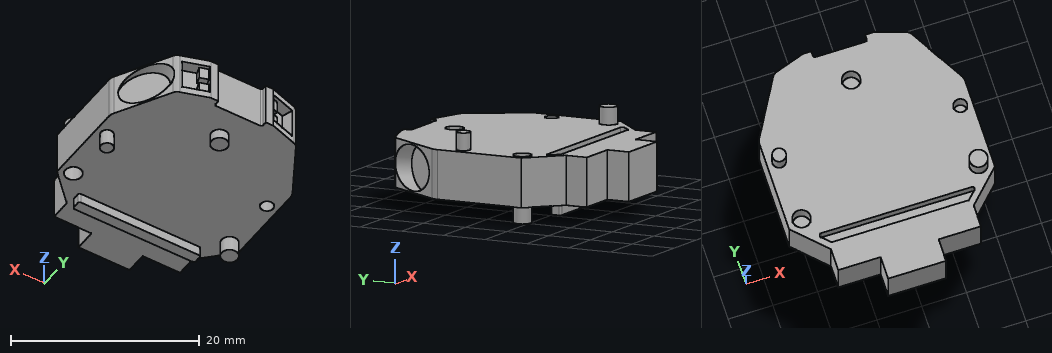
import cadquery as cq
import math

length = 27.0
width = 23.0
thickness = 5.4
mid_z = thickness / 2
tab_width = 6.48
tab_end_y = 2.56
shoulder_width = 15.95
shoulder_end_y = 5.05
side_start_y = shoulder_end_y + (width - shoulder_width) / 2
side_end_y = 19.05
flank_angle = 60.0
roof_angle = 18.0
crest_width = 7.95
notch_width = 6.0
notch_depth = 0.75
notch_radius = 0.2
side_radius = 1.5
roof_radius = 1.0

large_diameter = 2.0
small_diameter = 1.5
pin_length = 1.92
short_pin_length = 1.22
socket_depth = pin_length
pin_margin = 0.62
large_pin_y = 9.3
small_pin_y = 16.23
top_pin_y = 22.57

groove_top_y = 7.1
groove_width = 1.32
groove_floor_length = 15.34
groove_depth = 1.35
groove_radius = 0.25
key_length = 15.45
key_width = 1.25
key_height = 1.25
key_radius = 0.25
key_y = groove_top_y - groove_width / 2

bore_diameter = 5.0
bore_x = 9.37
bore_y = 22.75
bore_floor_angle = 37.5
bore_floor_depth = 1.25
bore_overrun = 5.4

terminal_start = 0.08
terminal_length = 3.08
terminal_height = 3.7
terminal_depth = 1.35
ledge_length = 1.08
ledge_depth = 0.43
ledge_gap = 0.73


def tan_deg(angle):
    return math.tan(math.radians(angle))


def mirrored(shape):
    """The shape together with its mirror image about X = 0."""
    return shape.union(shape.mirror("YZ"))


def make_body():
    half_width = width / 2
    half_crest = crest_width / 2
    run = length - side_end_y - (half_width - half_crest) * tan_deg(roof_angle)
    roof_x = half_width - run / (tan_deg(flank_angle) - tan_deg(roof_angle))
    roof_y = side_end_y + (half_width - roof_x) * tan_deg(flank_angle)
    notch_x = notch_width / 2
    notch_y = length - notch_depth
    right_side = [
        (tab_width / 2, 0),
        (tab_width / 2, tab_end_y),
        (shoulder_width / 2, tab_end_y),
        (shoulder_width / 2, shoulder_end_y),
        (half_width, side_start_y),
        (half_width, side_end_y),
        (roof_x, roof_y),
        (half_crest, length),
        (notch_x, length),
        (notch_x, notch_y),
    ]
    left_side = [(-x, y) for x, y in reversed(right_side)]
    body = cq.Workplane("XY").polyline(right_side + left_side).close().extrude(thickness)
    rounded_corners = [
        (half_width, side_end_y, side_radius),
        (roof_x, roof_y, roof_radius),
        (notch_x, notch_y, notch_radius),
    ]
    for x, y, radius in rounded_corners:
        for side in (-1, 1):
            corner = cq.selectors.NearestToPointSelector((side * x, y, mid_z))
            body = body.edges(corner).fillet(radius)
    return body


def cylinder(x, y, z, diameter, height):
    return cq.Workplane("XY", origin=(x, y, z)).circle(diameter / 2).extrude(height)


def add_pin_and_socket(body, x, y, diameter, height, pin_on_top):
    """A pin on one face of the body and a socket for such a pin on the opposite face."""
    if pin_on_top:
        pin = cylinder(x, y, thickness, diameter, height)
        socket = cylinder(x, y, 0, diameter, socket_depth)
    else:
        pin = cylinder(x, y, -height, diameter, height)
        socket = cylinder(x, y, thickness - socket_depth, diameter, socket_depth)
    return body.union(pin).cut(socket)


def make_groove():
    top_half = groove_floor_length / 2 + groove_width
    bottom_half = groove_floor_length / 2
    bottom_y = groove_top_y - groove_width
    corners = [
        (-bottom_half, bottom_y),
        (bottom_half, bottom_y),
        (top_half, groove_top_y),
        (-top_half, groove_top_y),
    ]
    groove = cq.Workplane("XY", origin=(0, 0, thickness - groove_depth))
    groove = groove.polyline(corners).close().extrude(groove_depth)
    return groove.edges("|Z and >Y").fillet(groove_radius)


def make_key():
    key = cq.Workplane("XY", origin=(0, key_y, -key_height)).rect(key_length, key_width)
    return key.extrude(key_height).edges("|Z").fillet(key_radius)


def slope_plane(x, y):
    """Plane parallel to the left top slope: local X runs down the slope, Z points outwards."""
    angle = math.radians(roof_angle)
    down_slope = (-math.cos(angle), -math.sin(angle), 0)
    outwards = (-math.sin(angle), math.cos(angle), 0)
    return cq.Plane(origin=(x, y, mid_z), xDir=down_slope, normal=outwards)


def make_bore():
    bore = cq.Workplane(slope_plane(-bore_x, bore_y)).circle(bore_diameter / 2)
    bore = bore.extrude(bore_overrun, both=True)
    slope_tilt = math.radians(roof_angle)
    floor_origin = (
        -bore_x + bore_floor_depth * math.sin(slope_tilt),
        bore_y - bore_floor_depth * math.cos(slope_tilt),
        mid_z,
    )
    floor_angle = math.radians(bore_floor_angle)
    floor_normal = (-math.cos(floor_angle), math.sin(floor_angle), 0)
    floor_plane = cq.Plane(origin=floor_origin, xDir=(0, 0, 1), normal=floor_normal)
    bore_reach = 2 * bore_overrun
    outside = cq.Workplane(floor_plane).rect(2 * bore_reach, 2 * bore_reach).extrude(bore_reach)
    return bore.intersect(outside)


def make_terminal():
    slope = cq.Workplane(slope_plane(-crest_width / 2, length))

    def pocket(start, end, height, depth):
        shape = slope.center((start + end) / 2, 0).rect(end - start, height)
        return shape.extrude(-depth)

    end = terminal_start + terminal_length
    ledge_end = terminal_start + ledge_length
    mouth = pocket(terminal_start, end, terminal_height, ledge_depth)
    well = pocket(ledge_end, end, terminal_height, terminal_depth)
    gap = pocket(terminal_start, end, ledge_gap, terminal_depth)
    return mouth.union(well).union(gap)


large_pin_x = width / 2 - pin_margin - large_diameter / 2
small_pin_x = width / 2 - pin_margin - small_diameter / 2

result = make_body()
result = result.cut(mirrored(make_bore()))
result = result.cut(mirrored(make_terminal()))
result = result.cut(make_groove())
result = result.union(make_key())
pins = [
    (-large_pin_x, large_pin_y, large_diameter, pin_length, False),
    (large_pin_x, large_pin_y, large_diameter, pin_length, True),
    (-small_pin_x, small_pin_y, small_diameter, pin_length, True),
    (small_pin_x, small_pin_y, small_diameter, pin_length, False),
    (0, top_pin_y, large_diameter, short_pin_length, False),
]
for pin in pins:
    result = add_pin_and_socket(result, *pin)